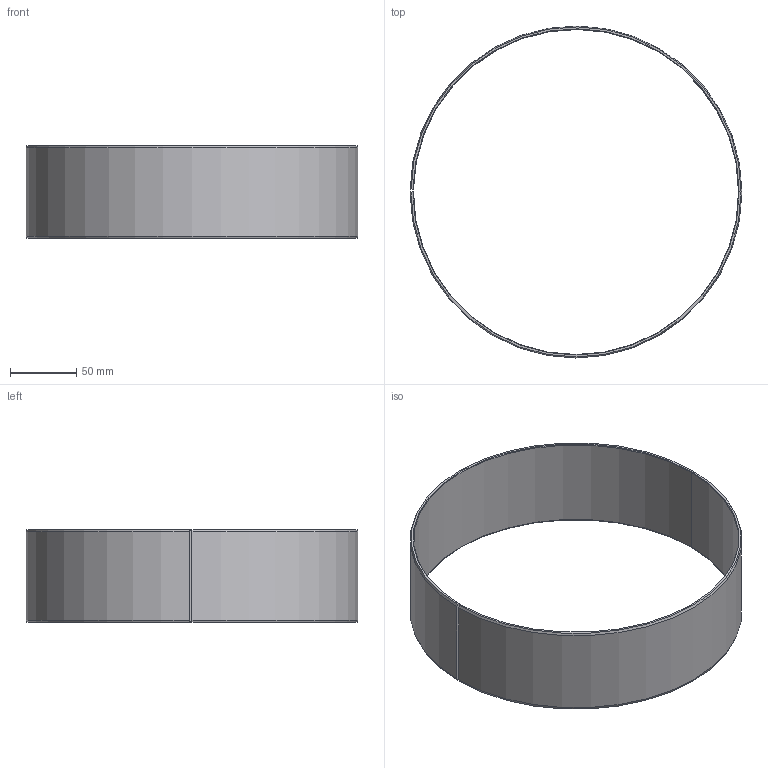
import cadquery as cq

outer_diameter = 250.0
wall_thickness = 2.5
height = 70.0

outer_chamfer_height = 1.8
outer_chamfer_depth = 0.65
inner_chamfer_height = 0.7
inner_chamfer_depth = 0.35

slit_width = 2.0

outer_radius = outer_diameter / 2
inner_radius = outer_radius - wall_thickness


def make_band():
    """Thin cylindrical band standing on Z = 0, with all four rims chamfered."""
    rim_outer_radius = outer_radius - outer_chamfer_depth
    rim_inner_radius = inner_radius + inner_chamfer_depth
    wall_section = [
        (rim_inner_radius, 0),
        (rim_outer_radius, 0),
        (outer_radius, outer_chamfer_height),
        (outer_radius, height - outer_chamfer_height),
        (rim_outer_radius, height),
        (rim_inner_radius, height),
        (inner_radius, height - inner_chamfer_height),
        (inner_radius, inner_chamfer_height),
    ]
    return cq.Workplane("XZ").polyline(wall_section).close().revolve(360, (0, 0), (0, 1))


def make_slit():
    """Full-height cutter for the wall on the -X side, with one face on the XZ plane."""
    slit_length = 4 * wall_thickness
    cutter = cq.Workplane("XY").box(slit_length, slit_width, height, centered=(True, False, False))
    return cutter.translate((-outer_radius, 0, 0))


result = make_band().cut(make_slit())